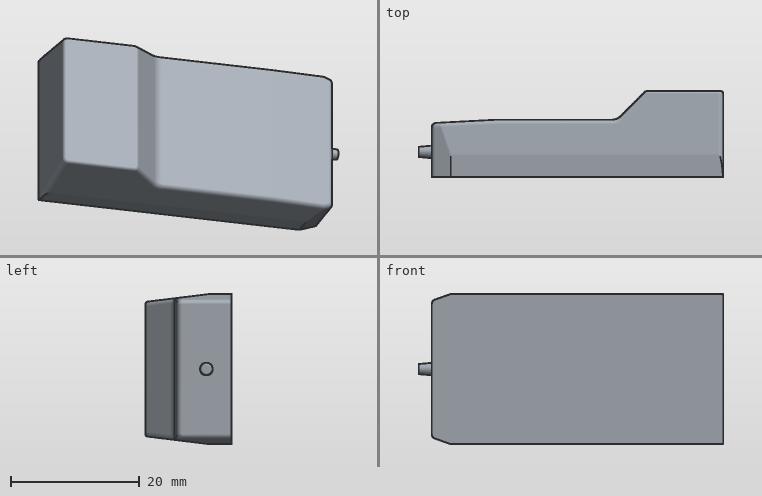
import cadquery as cq
import math

length = 47.3
depth = 13.4
height = 23.3
half_height = height / 2

body_start = 2.05
low_back = 8.95
ramp_foot = 30.8
ramp_top = ramp_foot + depth - low_back
wedge_end = 12.0
wedge_angle = 3.0
nose_back = low_back - (wedge_end - body_start) * math.tan(math.radians(wedge_angle))

plate_depth = 3.5
side_angle = 7.0
side_slope = math.tan(math.radians(side_angle))

nose_cut_length = 2.95
nose_cut_height = 1.05
nose_cut_slope = nose_cut_height / nose_cut_length
nose_half_height = half_height - nose_cut_height

ramp_foot_radius = 2.0
edge_radius = 0.75
high_rim_radius = 0.45

pin_base_radius = 1.0
pin_tip_radius = 0.8
pin_tip_rounding = 0.15
pin_y = 3.93


def make_profile_block():
    """Body profile, extruded well past both sides."""
    profile = [
        (body_start, 0),
        (length, 0),
        (length, depth),
        (ramp_top, depth),
        (ramp_foot, low_back),
        (wedge_end, low_back),
        (body_start, nose_back),
    ]
    block = cq.Workplane("XY").polyline(profile).close().extrude(height, both=True)
    foot = cq.selectors.NearestToPointSelector((ramp_foot, low_back, 0))
    return block.edges("|Z").edges(foot).fillet(ramp_foot_radius)


def side_half_height(y):
    """Half the distance between the leaning sides at depth y."""
    return half_height - (y - plate_depth) * side_slope


def make_side_limits():
    """Bar along X whose top and bottom lean inwards towards the back."""
    front_half = side_half_height(0)
    back_half = side_half_height(depth)
    section = [(0, -front_half), (depth, -back_half), (depth, back_half), (0, front_half)]
    return cq.Workplane("YZ").polyline(section).close().extrude(length)


def make_nose_cut(side):
    """Wedge that slopes the corner between the nose and one side (1 top, -1 bottom)."""
    reach = 2 * nose_cut_length
    inner_z = side * nose_half_height
    outer_z = side * (nose_half_height + reach * nose_cut_slope)
    corner = [(body_start, inner_z), (body_start + reach, outer_z), (body_start, outer_z)]
    return cq.Workplane("XZ").polyline(corner).close().extrude(-depth)


def round_edges(solid, points, radius):
    """Round the edges nearest to the points, with any edges that run on smoothly."""
    nearest = cq.selectors.NearestToPointSelector(points[0])
    for point in points[1:]:
        nearest = nearest + cq.selectors.NearestToPointSelector(point)
    return solid.edges(nearest).fillet(radius)


def mirrored(x, y, z):
    """The same place on the top and bottom sides."""
    return [(x, y, z), (x, y, -z)]


def round_corners(solid):
    """Edges running from front to back: the end, the nose and beside the nose cuts."""
    end_y = depth / 2
    solid = round_edges(solid, mirrored(length, end_y, side_half_height(end_y)), edge_radius)

    nose_y = nose_back / 2
    solid = round_edges(solid, mirrored(body_start, nose_y, nose_half_height), edge_radius)

    cut_z = side_half_height(nose_y)
    cut_x = body_start + (cut_z - nose_half_height) / nose_cut_slope
    return round_edges(solid, mirrored(cut_x, nose_y, cut_z), edge_radius)


def round_back_rim(solid):
    """Rim of the thin stretch, nose and ramp, then all round the thick end."""
    low_x = (wedge_end + ramp_foot) / 2
    solid = round_edges(solid, mirrored(low_x, low_back, side_half_height(low_back)), edge_radius)

    high_x = (ramp_top + length) / 2
    high_rim = [(ramp_top, depth, 0), (length, depth, 0)]
    high_rim += mirrored(high_x, depth, side_half_height(depth))
    return round_edges(solid, high_rim, high_rim_radius)


def make_pin():
    """Pin standing out of the nose, narrowing towards its rounded tip."""
    taper = -math.degrees(math.atan((pin_base_radius - pin_tip_radius) / body_start))
    pin = cq.Workplane("YZ").center(pin_y, 0).circle(pin_tip_radius).extrude(body_start, taper=taper)
    return pin.faces("<X").edges().fillet(pin_tip_rounding)


body = make_profile_block().intersect(make_side_limits())
for side in (1, -1):
    body = body.cut(make_nose_cut(side))

body = round_back_rim(round_corners(body))

straight_sides = cq.Workplane("XY").box(length, depth, height, centered=(False, False, True))
result = body.intersect(straight_sides).union(make_pin())